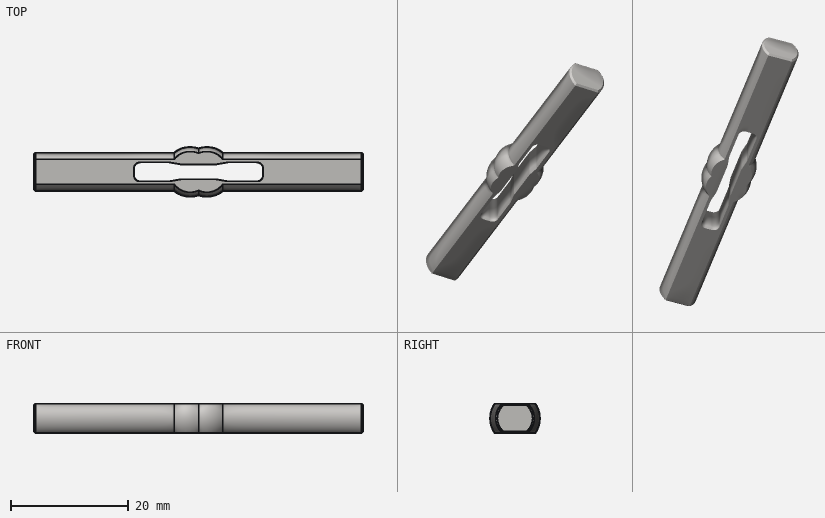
import cadquery as cq
import math

rod_length = 56.25
rod_diameter = 6.6
thickness = 5.0
end_chamfer = 0.3

bulge_diameter = 8.57
bulge_offset = 1.42

slot_length = 22.0
slot_width = 3.2
slot_corner_radius = 1.0
waist_width = 2.5
waist_length = 6.0
waist_span_with_tapers = 10.0


def make_rod():
    """Round rod with flats on +Z and -Z and chamfered ends."""
    rod_radius = rod_diameter / 2
    half_thickness = thickness / 2
    half_flat = math.sqrt(rod_radius**2 - half_thickness**2)
    return (
        cq.Workplane("YZ")
        .moveTo(-half_flat, -half_thickness)
        .lineTo(half_flat, -half_thickness)
        .threePointArc((rod_radius, 0), (half_flat, half_thickness))
        .lineTo(-half_flat, half_thickness)
        .threePointArc((-rod_radius, 0), (-half_flat, -half_thickness))
        .close()
        .extrude(rod_length / 2, both=True)
        .faces("<X or >X")
        .chamfer(end_chamfer)
    )


def make_bulge(x_center):
    """Sphere on the rod axis, cut flush with the flats of the rod."""
    bulge_radius = bulge_diameter / 2
    sphere = (
        cq.Workplane("XY")
        .moveTo(-bulge_radius, 0)
        .threePointArc((0, bulge_radius), (bulge_radius, 0))
        .close()
        .revolve(360, (0, 0, 0), (1, 0, 0))
    )
    slab = cq.Workplane("XY").box(bulge_diameter, bulge_diameter, thickness)
    return sphere.intersect(slab).translate((x_center, 0, 0))


def make_slot():
    """Slot cutter running through Z, tapering in to a waist at the middle."""
    half_length = slot_length / 2
    half_width = slot_width / 2
    taper_start = waist_span_with_tapers / 2
    taper_end = waist_length / 2
    half_waist = waist_width / 2
    upper_side = [
        (half_length, half_width),
        (taper_start, half_width),
        (taper_end, half_waist),
        (-taper_end, half_waist),
        (-taper_start, half_width),
        (-half_length, half_width),
    ]
    lower_side = [(-x, -y) for x, y in upper_side]
    return (
        cq.Workplane("XY")
        .polyline(upper_side + lower_side)
        .close()
        .extrude(thickness, both=True)
        .edges("|Z and (<X or >X)")
        .fillet(slot_corner_radius)
    )


body = make_rod()
for x_center in (-bulge_offset, bulge_offset):
    body = body.union(make_bulge(x_center))

result = body.cut(make_slot())